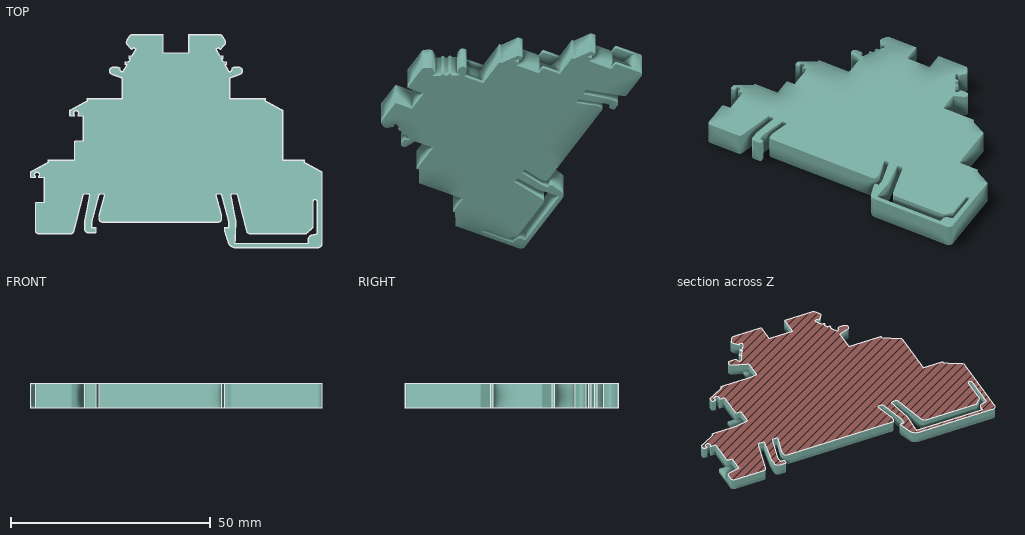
import cadquery as cq
import math

LENGTH = 73.0
HEIGHT = 53.4
THICKNESS = 6.2

HEAD_X = 36.42
HEAD_HALF = 13.5
NOTCH_HALF = 3.2
NOTCH_DEPTH = 4.6
FLANK_ANGLE = 30.0
NECK_HALF = 10.05
NECK_Y = 49.75
FLANK_FOOT_Y = 44.1
EAR_ROOT_Y = 42.5

BULGE_TOP_HALF = 11.4
BULGE_HALF = 12.65
BULGE_Y = 51.4
BULGE_ROUND = 0.85
BULGE_TIP_HALF = 11.1
BULGE_TIP_Y = 49.65
BULGE_ROOT_HALF = 10.65
BULGE_ROOT_Y = 50.1

EAR_HALF = 16.65
EAR_LOW_Y = 43.65
EAR_LOW_ROUND = 0.9
EAR_TOP_Y = 45.25
EAR_TOP_ROUND = 0.9
EAR_LIP_HALF = 14.6
EAR_BACK_HALF = 14.0
EAR_BACK_Y = 45.0
EAR_GROOVE_ROUND = 0.6

RIB_TOPS = (48.1, 46.55)
RIB_REACH = 0.8
RIB_HEIGHT = 0.65
RIB_OVERLAP = 0.5

LEDGE_LOW_Y = 22.0
TIER_RISE = 15.4
LEDGE_HIGH_Y = LEDGE_LOW_Y + TIER_RISE
TIER_SHIFT = 9.8
DRIP_WIDTH = 4.4
DRIP_STEP = 0.6
DRIP_DROP = 3.0
HOOK_HEIGHT = 4.4
HOOK_ROUND = 0.3
HOOK_WALL = 3.4
SHOULDER_DROP = 10.6
SHOULDER_X = 1.2
SHOULDER_ROUND = 0.44

KEYHOLE_X = 1.63
KEYHOLE_RISE = 0.75
KEYHOLE_RADIUS = 0.6
KEYHOLE_WIDTH = 0.85

RAIL_X = 32.5
FOOT_Y = 3.5
FOOT_ROUND = 0.9
SEAT_Y = 6.4
SLOT_TOP_Y = 13.45
SLOT_ROUND = 0.25
FLANK_TOP = 19.25
FLANK_BOTTOM = 21.8
LEG_OUTER_TOP = 17.65
LEG_OUTER_BOTTOM = 18.95
LEG_INNER_TOP = 15.3
LEG_INNER_BOTTOM = 17.1
LEG_BEND_Y = 6.6
SEAT_SIDE_TOP = 13.9
SEAT_SIDE_BOTTOM = 15.35
SEAT_BEND_Y = 8.2
SEAT_ROUND = 0.85
BARB_Y = 5.05
BARB_REACH = 1.05
LEFT_CLIP_Y = 3.75
LEFT_CLIP_ROUND = 1.0
BARB_ROUND = 0.35

BARB_SLOPE_Y = 4.3
BAR_X = 49.95
BAR_START_ROUND = 2.0
BAR_END_ROUND = 1.1
BAR_THICKNESS = 1.1
CHANNEL_START_X = 51.25
STRAP_INNER_X = 71.75
STRAP_SLOT_WIDTH = 0.95
STRAP_SLOT_ROUND = 0.45 * STRAP_SLOT_WIDTH
STRAP_SLOT_TOP_Y = 12.1
FOOT_CUT_X = 69.0
FOOT_CUT_Y = 5.15
FOOT_CUT_ROUND = 0.5
LUMP_X = 69.5
LUMP_Y = 3.0
LUMP_ROUND = 1.2

POCKET_MARGIN = 0.8
POCKET_DEPTH = 1.4
POCKET_DROP = 4.17
POCKET_START_ROUND = 0.4
POCKET_END_DROP = 0.8
POCKET_END_ROUND = 0.9
HEAD_POCKET_END = 0.25


def toward(start, end, distance):
    """Point at a distance from start along the line to end."""
    span = math.dist(start, end)
    return tuple(s + (e - s) * distance / span for s, e in zip(start, end))


def corner_arc(before, tip, after, radius):
    """Start, middle and end of the arc that rounds the corner at tip."""
    on_first = toward(tip, before, 1)
    on_second = toward(tip, after, 1)
    bisector = tuple((a + b) / 2 for a, b in zip(on_first, on_second))
    half_angle = math.acos(math.dist(tip, bisector))
    setback = radius / math.tan(half_angle)
    inset = radius / math.sin(half_angle) - radius
    return [toward(tip, before, setback), toward(tip, bisector, inset), toward(tip, after, setback)]


def plate(corners, bottom=0.0, top=THICKNESS):
    """Prism over a closed outline of (x, y) or (x, y, corner radius) entries; the first is sharp."""
    path = cq.Workplane("XY", (0, 0, bottom)).moveTo(*corners[0])
    following = corners[1:] + corners[:1]
    for previous, corner, upcoming in zip(corners, following, following[1:]):
        tip = corner[:2]
        if len(corner) == 2:
            path = path.lineTo(*tip)
        else:
            start, middle, end = corner_arc(previous[:2], tip, upcoming[:2], corner[2])
            path = path.lineTo(*start).threePointArc(middle, end)
    return path.close().extrude(top - bottom)


def flank_half(y):
    """Half width of the head between its sloping flanks at height y."""
    return NECK_HALF + (NECK_Y - y) * math.tan(math.radians(FLANK_ANGLE))


def left_tier(tip_x, ledge_y, end_x):
    """Corners down the left of one tier, from its ledge to its shoulder."""
    return [
        (end_x, ledge_y),
        (tip_x + DRIP_WIDTH, ledge_y),
        (tip_x + DRIP_WIDTH, ledge_y - DRIP_STEP),
        (tip_x, ledge_y - DRIP_DROP, HOOK_ROUND),
        (tip_x, ledge_y - HOOK_HEIGHT, HOOK_ROUND),
        (tip_x + HOOK_WALL, ledge_y - HOOK_HEIGHT),
        (tip_x + HOOK_WALL, ledge_y - SHOULDER_DROP),
        (tip_x + SHOULDER_X, ledge_y - SHOULDER_DROP, SHOULDER_ROUND),
    ]


def right_tier(tip_x, ledge_y, end_x):
    """Corners up the right of one tier, from its edge to its ledge."""
    return [
        (tip_x, ledge_y - DRIP_DROP, HOOK_ROUND),
        (tip_x - DRIP_WIDTH, ledge_y - DRIP_STEP),
        (tip_x - DRIP_WIDTH, ledge_y),
        (end_x, ledge_y),
    ]


def clip_gap(side):
    """Corners of one clip opening, from the foot to the rail seat, without the leg."""
    return [
        (RAIL_X + side * FLANK_BOTTOM, FOOT_Y, FOOT_ROUND),
        (RAIL_X + side * FLANK_TOP, SLOT_TOP_Y, SLOT_ROUND),
        (RAIL_X + side * LEG_OUTER_TOP, SLOT_TOP_Y, SLOT_ROUND),
        (RAIL_X + side * LEG_OUTER_BOTTOM, LEG_BEND_Y),
    ]


def leg_inside(side):
    """Corners of the rail side of one clip leg, from its barb to the rail seat."""
    inner = RAIL_X + side * LEG_INNER_BOTTOM
    return [
        (inner - side * BARB_REACH, BARB_Y),
        (inner, BARB_Y),
        (inner, LEG_BEND_Y),
        (RAIL_X + side * LEG_INNER_TOP, SLOT_TOP_Y, SLOT_ROUND),
        (RAIL_X + side * SEAT_SIDE_TOP, SLOT_TOP_Y, SLOT_ROUND),
        (RAIL_X + side * SEAT_SIDE_BOTTOM, SEAT_BEND_Y),
        (RAIL_X + side * SEAT_SIDE_BOTTOM, SEAT_Y, SEAT_ROUND),
    ]


def make_body():
    """Plate with the tiers, feet, rail clips and release bar."""
    head_left = HEAD_X - HEAD_HALF
    head_right = HEAD_X + HEAD_HALF
    left_leg_outer = RAIL_X - LEG_OUTER_BOTTOM
    left_barb = RAIL_X - LEG_INNER_BOTTOM + BARB_REACH
    right_barb = RAIL_X + LEG_INNER_BOTTOM - BARB_REACH
    corners = [(HEAD_X, NECK_Y), (HEAD_X - NECK_HALF, NECK_Y)]
    corners += [(HEAD_X - flank_half(FLANK_FOOT_Y), FLANK_FOOT_Y), (head_left, EAR_ROOT_Y)]
    corners += left_tier(TIER_SHIFT, LEDGE_HIGH_Y, head_left)
    corners += left_tier(0.0, LEDGE_LOW_Y, TIER_SHIFT + SHOULDER_X)
    corners += [(SHOULDER_X, FOOT_Y, FOOT_ROUND)]
    corners += clip_gap(-1)
    corners += [(left_leg_outer, LEFT_CLIP_Y, LEFT_CLIP_ROUND), (left_barb, LEFT_CLIP_Y, BARB_ROUND)]
    corners += leg_inside(-1)
    corners += reversed(leg_inside(1))
    corners += [
        (right_barb, BARB_SLOPE_Y),
        (BAR_X, 0.0, BAR_START_ROUND),
        (LENGTH, 0.0, BAR_END_ROUND),
    ]
    corners += right_tier(LENGTH, LEDGE_LOW_Y, LENGTH - TIER_SHIFT)
    corners += right_tier(LENGTH - TIER_SHIFT, LEDGE_HIGH_Y, head_right)
    corners += [(head_right, EAR_ROOT_Y), (HEAD_X + flank_half(FLANK_FOOT_Y), FLANK_FOOT_Y)]
    corners += [(HEAD_X + NECK_HALF, NECK_Y)]
    return plate(corners)


def make_head_side(side):
    """One half of the head top with its bulge, ribs and ear."""

    def at(points):
        return [(HEAD_X + side * p[0], *p[1:]) for p in points]

    bulge = plate(at([
        (0, HEIGHT),
        (BULGE_TOP_HALF, HEIGHT, BULGE_ROUND),
        (BULGE_HALF, BULGE_Y, BULGE_ROUND),
        (BULGE_TIP_HALF, BULGE_TIP_Y),
        (BULGE_ROOT_HALF, BULGE_ROOT_Y),
        (NECK_HALF, NECK_Y),
        (0, NECK_Y),
    ]))
    ear = plate(at([
        (HEAD_HALF, EAR_ROOT_Y),
        (EAR_HALF, EAR_LOW_Y, EAR_LOW_ROUND),
        (EAR_HALF, EAR_TOP_Y, EAR_TOP_ROUND),
        (EAR_LIP_HALF, EAR_TOP_Y),
        (EAR_BACK_HALF, EAR_BACK_Y),
        (EAR_BACK_HALF, FLANK_FOOT_Y, EAR_GROOVE_ROUND),
        (flank_half(FLANK_FOOT_Y), FLANK_FOOT_Y),
    ]))
    half = bulge.union(ear)
    for top in RIB_TOPS:
        outer = flank_half(top) + RIB_REACH
        low = top - RIB_HEIGHT
        inner = outer - RIB_REACH - RIB_OVERLAP
        half = half.union(plate(at([(inner, top), (outer, top), (outer, low), (inner, low)])))
    return half


def make_notch():
    """Square notch across the top of the head."""
    notch = cq.Workplane("XY").center(HEAD_X, HEIGHT)
    return notch.rect(2 * NOTCH_HALF, 2 * NOTCH_DEPTH).extrude(THICKNESS)


def make_keyhole(tip_x, ledge_y):
    """Round groove with a narrower mouth in the underside of a hook."""
    base = ledge_y - HOOK_HEIGHT
    x = tip_x + KEYHOLE_X
    bore = cq.Workplane("XY").center(x, base + KEYHOLE_RISE).circle(KEYHOLE_RADIUS).extrude(THICKNESS)
    mouth = cq.Workplane("XY").center(x, base).rect(KEYHOLE_WIDTH, 2 * KEYHOLE_RISE).extrude(THICKNESS)
    return bore.union(mouth)


def make_channel():
    """Opening between the right foot and the release bar."""
    slot_x = STRAP_INNER_X - STRAP_SLOT_WIDTH
    corners = [(CHANNEL_START_X, BAR_THICKNESS)]
    corners += reversed(clip_gap(1))
    corners += [
        (FOOT_CUT_X, FOOT_Y, FOOT_CUT_ROUND),
        (slot_x, FOOT_CUT_Y),
        (slot_x, STRAP_SLOT_TOP_Y, STRAP_SLOT_ROUND),
        (STRAP_INNER_X, STRAP_SLOT_TOP_Y, STRAP_SLOT_ROUND),
        (STRAP_INNER_X, FOOT_Y),
        (LUMP_X, LUMP_Y, LUMP_ROUND),
        (LUMP_X, BAR_THICKNESS),
    ]
    return plate(corners)


def make_pocket(corners):
    """Pocket over a closed outline, leaving a lip on both broad faces."""
    return plate(corners, POCKET_MARGIN, THICKNESS - POCKET_MARGIN)


def tier_pocket_start(tip_x, ledge_y):
    """Corners shared by the pockets below both shoulders, from the shoulder to the back wall."""
    shoulder_y = ledge_y - SHOULDER_DROP
    start_y = shoulder_y - SHOULDER_ROUND
    wall_x = tip_x + HOOK_WALL
    back_x = wall_x + POCKET_DEPTH
    return [
        (tip_x + SHOULDER_X, shoulder_y),
        (wall_x, shoulder_y),
        (wall_x, start_y, POCKET_START_ROUND),
        (back_x, start_y),
        (back_x, shoulder_y - POCKET_DROP),
    ]


def make_low_pocket():
    """Pocket in the lowest step; its end slopes outwards and rounds over into the side wall."""
    end_y = LEDGE_LOW_Y - SHOULDER_DROP - POCKET_DROP - POCKET_END_DROP
    corners = tier_pocket_start(0.0, LEDGE_LOW_Y)
    corners += [
        (SHOULDER_X, end_y, POCKET_END_ROUND),
        (SHOULDER_X, end_y - 2 * POCKET_END_ROUND),
        (0.0, end_y),
    ]
    return make_pocket(corners)


def make_middle_pocket():
    """Pocket in the middle step; its end slopes down to the low ledge."""
    corners = tier_pocket_start(TIER_SHIFT, LEDGE_HIGH_Y)
    return make_pocket(corners + [(TIER_SHIFT + SHOULDER_X, LEDGE_LOW_Y)])


def make_head_pocket():
    """Pocket in the head wall; its upper end continues the underside of the ear."""
    wall_x = HEAD_X - HEAD_HALF
    back_x = wall_x + POCKET_DEPTH
    ear_slope = (EAR_LOW_Y - EAR_ROOT_Y) / (EAR_HALF - HEAD_HALF)
    return make_pocket([
        (wall_x, EAR_ROOT_Y),
        (back_x, EAR_ROOT_Y - POCKET_DEPTH * ear_slope),
        (back_x, LEDGE_HIGH_Y + HEAD_POCKET_END),
        (wall_x, LEDGE_HIGH_Y),
    ])


result = make_body()
for side in (-1, 1):
    result = result.union(make_head_side(side))
result = result.cut(make_notch())
result = result.cut(make_keyhole(0.0, LEDGE_LOW_Y))
result = result.cut(make_keyhole(TIER_SHIFT, LEDGE_HIGH_Y))
result = result.cut(make_channel())
result = result.cut(make_low_pocket())
result = result.cut(make_middle_pocket())
result = result.cut(make_head_pocket())